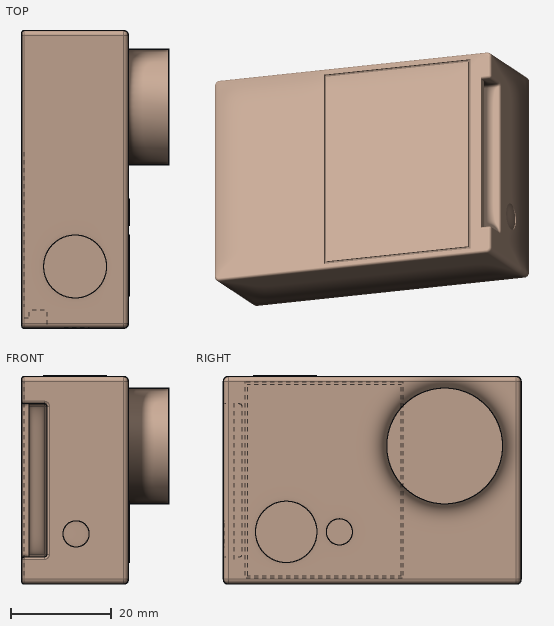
import cadquery as cq


body_x = 21.2
body_y = 59.15
body_z = 41.25
corner_radius = 1.0
back_edge_radius = 0.5

lens_diameter = 23.0
lens_length = 8.0
lens_y = 43.95
lens_z = 27.45

disc_height = 0.15
shutter_diameter = 12.5
shutter_x = 10.6
shutter_y = 12.3
small_disc_diameter = 5.2
front_disc_diameter = 12.2
front_disc_y = 12.5
front_discs_z = 10.4
front_light_y = 23.05

side_button_depth = 0.15
side_button_x = 10.8
side_button_z = 10.0

frame_y_min = 4.35
frame_width = 31.3
frame_z_min = 1.2
frame_height = 38.9
groove_far_width = 0.4
groove_near_width = 0.5
groove_level_width = 0.45
groove_depth = 0.5

bay_x = 5.0
bay_height = 30.4
bay_depth = 3.7
bay_radius = 0.5
sill_thickness = 1.5
sill_depth = 2.1
tolerance = 0.05


def box_between(low, high):
    """Box spanning two opposite corners."""
    size = [b - a for a, b in zip(low, high)]
    return cq.Workplane("XY").box(*size, centered=False).translate(low)


def cylinder(start, direction, diameter, length):
    """Cylinder growing from a start point along a direction."""
    solid = cq.Solid.makeCylinder(diameter / 2, length, cq.Vector(*start), cq.Vector(*direction))
    return cq.Workplane(obj=solid)


def make_body():
    """Box with rounded edges, the ones around the -X face being tighter."""
    body = box_between((0, 0, 0), (body_x, body_y, body_z))
    body = body.edges("|X").fillet(corner_radius)
    body = body.faces(">X").edges().fillet(corner_radius)
    return body.faces("<X").edges().fillet(back_edge_radius)


def cut_bay(body):
    """Bay with a rounded floor behind a low sill, and a rounded rim."""
    z_min = (body_z - bay_height) / 2
    z_max = z_min + bay_height
    deep = box_between((sill_thickness, 0, z_min), (bay_x, bay_depth, z_max))
    deep = deep.edges(">X and |Y").fillet(bay_radius)
    deep = deep.faces(">Y").edges("not(<X)").fillet(bay_radius)
    opening = box_between((0, 0, z_min), (bay_x, sill_depth, z_max))
    opening = opening.edges(">X and |Y").fillet(bay_radius)
    body = body.cut(deep).cut(opening)
    low = (-tolerance, -tolerance, z_min - tolerance)
    high = (bay_x + tolerance, tolerance, z_max + tolerance)
    rim_zone = cq.selectors.BoxSelector(low, high)
    return body.edges(rim_zone).fillet(bay_radius)


def cut_screen_groove(body):
    """Shallow groove that leaves the screen standing flush with the -X face."""
    y_max = frame_y_min + frame_width
    z_max = frame_z_min + frame_height
    frame = box_between((0, frame_y_min, frame_z_min), (groove_depth, y_max, z_max))
    screen = box_between(
        (0, frame_y_min + groove_near_width, frame_z_min + groove_level_width),
        (groove_depth, y_max - groove_far_width, z_max - groove_level_width),
    )
    return body.cut(frame.cut(screen))


def cut_side_button(body):
    """Shallow round recess on the -Y face."""
    start = (side_button_x, 0, side_button_z)
    return body.cut(cylinder(start, (0, 1, 0), small_disc_diameter, side_button_depth))


def add_lens_and_discs(body):
    """Lens barrel and the raised discs on the +X and +Z faces."""
    lens = cylinder((body_x, lens_y, lens_z), (1, 0, 0), lens_diameter, lens_length)
    discs = [
        cylinder((shutter_x, shutter_y, body_z), (0, 0, 1), shutter_diameter, disc_height),
        cylinder((body_x, front_disc_y, front_discs_z), (1, 0, 0), front_disc_diameter, disc_height),
        cylinder((body_x, front_light_y, front_discs_z), (1, 0, 0), small_disc_diameter, disc_height),
    ]
    body = body.union(lens)
    for disc in discs:
        body = body.union(disc)
    return body


result = make_body()
result = cut_bay(result)
result = cut_screen_groove(result)
result = cut_side_button(result)
result = add_lens_and_discs(result)